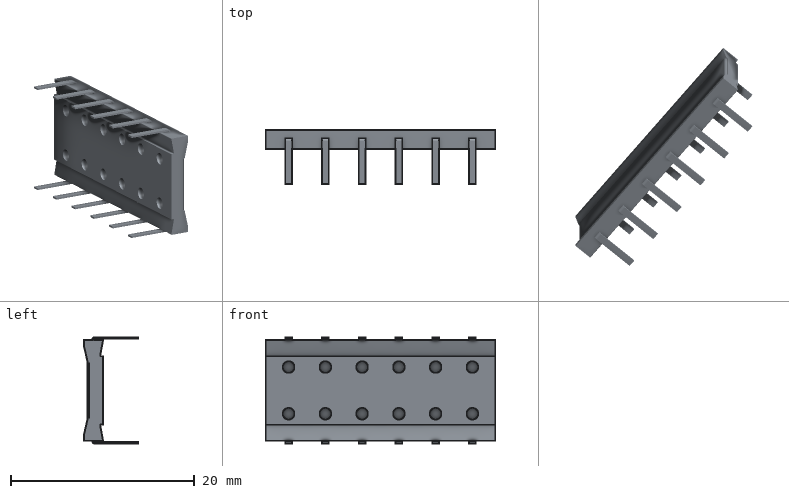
import cadquery as cq
import math

body_length = 25.0
body_height = 11.0
body_depth = 2.1
overall_depth = 5.9

land_height = 7.45
undercut_angle = 10.5
lip_radius = 0.07
groove_root_radius = 0.07

rim_flat_height = 0.7
rim_slope_angle = 13.0
channel_height = 5.9
channel_floor_y = 1.5

panel_top_y = 1.72
panel_end_inset = 0.1
panel_end_radius = panel_top_y - channel_floor_y

lead_count = 6
lead_pitch = 4.0
lead_width = 0.77
lead_thickness = 0.2
lead_gap = 0.112
lead_bend_y = 0.87
lead_tip_y = body_depth - overall_depth
hole_diameter = 1.27
hole_row_spacing = 5.07
hole_depth = 1.0

half_height = body_height / 2
half_land = land_height / 2
half_channel = channel_height / 2
lead_positions = [(i - (lead_count - 1) / 2) * lead_pitch for i in range(lead_count)]


def make_bar():
    """Bar with the dovetail profile, lips and groove roots rounded."""
    groove_depth = (half_height - half_land) * math.tan(math.radians(undercut_angle))
    slope_start_z = half_height - rim_flat_height
    rim_drop = (slope_start_z - half_channel) * math.tan(math.radians(rim_slope_angle))
    upper_half = [
        (0, half_land),
        (groove_depth, half_land),
        (0, half_height),
        (body_depth, half_height),
        (body_depth, slope_start_z),
        (body_depth - rim_drop, half_channel),
        (channel_floor_y, half_channel),
    ]
    lower_half = [(y, -z) for y, z in reversed(upper_half)]
    bar = (
        cq.Workplane("YZ")
        .polyline(upper_half + lower_half)
        .close()
        .extrude(body_length / 2, both=True)
    )
    for side in (-1, 1):
        lip = cq.selectors.NearestToPointSelector((0, 0, side * half_height))
        bar = bar.edges(lip).fillet(lip_radius)
        root = cq.selectors.NearestToPointSelector((0, groove_depth, side * half_land))
        bar = bar.edges(root).fillet(groove_root_radius)
    return bar


def make_panel():
    """Panel filling the channel; it runs on under the rims to meet their slopes."""
    panel_thickness = panel_top_y / 2
    panel_length = body_length - 2 * panel_end_inset
    return (
        cq.Workplane("XY")
        .box(panel_length, panel_thickness, land_height)
        .translate((0, panel_top_y - panel_thickness / 2, 0))
        .edges("|Z and >Y")
        .fillet(panel_end_radius)
    )


def make_holes():
    """Two rows of round tools that cut into the front face."""
    centres = [(x, side * hole_row_spacing / 2) for x in lead_positions for side in (-1, 1)]
    return (
        cq.Workplane("XZ")
        .pushPoints(centres)
        .circle(hole_diameter / 2)
        .extrude(-hole_depth)
    )


def make_upper_lead():
    """Flat lead that leaves the top face in a quarter bend and runs forward."""
    inner_radius = lead_gap
    outer_radius = lead_gap + lead_thickness
    diagonal = math.sqrt(0.5)
    inner_z = half_height + inner_radius
    outer_z = half_height + outer_radius
    return (
        cq.Workplane("YZ")
        .moveTo(lead_tip_y, inner_z)
        .lineTo(lead_bend_y, inner_z)
        .threePointArc(
            (lead_bend_y + inner_radius * diagonal, half_height + inner_radius * diagonal),
            (lead_bend_y + inner_radius, half_height),
        )
        .lineTo(lead_bend_y + outer_radius, half_height)
        .threePointArc(
            (lead_bend_y + outer_radius * diagonal, half_height + outer_radius * diagonal),
            (lead_bend_y, outer_z),
        )
        .lineTo(lead_tip_y, outer_z)
        .close()
        .extrude(lead_width / 2, both=True)
    )


result = make_bar().union(make_panel()).cut(make_holes())

upper_lead = make_upper_lead()
lower_lead = upper_lead.mirror("XY")
for x in lead_positions:
    for lead in (upper_lead, lower_lead):
        result = result.union(lead.translate((x, 0, 0)))